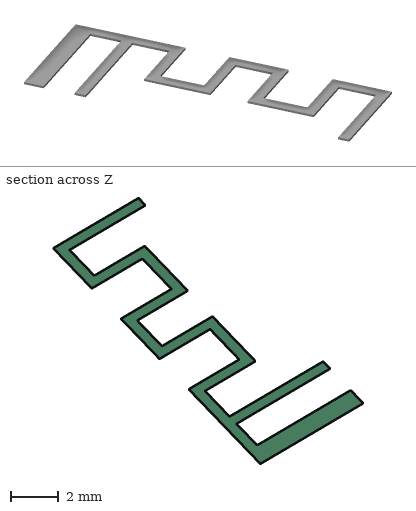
import cadquery as cq

length = 14.4
depth = 5.39
thickness = 0.1

track = 0.5
wide_leg_width = 0.9

narrow_leg_x = 2.3
first_run_length = 5.0
lower_gap = 2.0
hump_count = 2
hump_width = (length - first_run_length) / hump_count - lower_gap

meander_depth = 3.14
end_arm_depth = 4.46


def bar(x, y, width, height):
    """Flat rectangular strip with its lower left corner at (x, y)."""
    return cq.Workplane("XY").box(width, height, thickness, centered=False).translate((x, y, 0))


def hanging_leg(x, width, reach):
    """Strip along Y that hangs from the top edge."""
    return bar(x, depth - reach, width, reach)


def top_run(x, run_length):
    """Strip along X on the top edge."""
    return bar(x, depth - track, run_length, track)


result = top_run(0, first_run_length)
result = result.union(hanging_leg(0, wide_leg_width, depth))
result = result.union(hanging_leg(narrow_leg_x, track, depth))

run_end = first_run_length
for _ in range(hump_count):
    hump_start = run_end + lower_gap
    result = result.union(hanging_leg(run_end - track, track, meander_depth))
    result = result.union(bar(run_end - track, depth - meander_depth, lower_gap + 2 * track, track))
    result = result.union(hanging_leg(hump_start, track, meander_depth))
    result = result.union(top_run(hump_start, hump_width))
    run_end = hump_start + hump_width

result = result.union(hanging_leg(length - track, track, end_arm_depth))
result = result.clean()